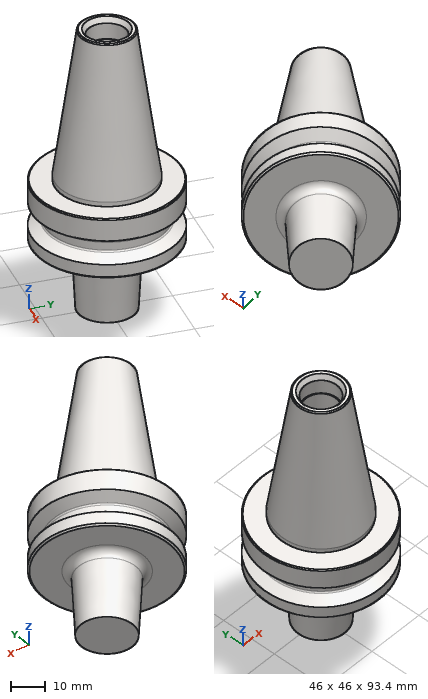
import cadquery as cq
import math

TOTAL_LENGTH = 93.4
FLANGE_BOTTOM = 23.0
FLANGE_TOP = 43.0
GAUGE_PLANE = 44.55

FLANGE_RADIUS = 46.0 / 2
FLANGE_TOP_CHAMFER = 0.4
FLANGE_BOTTOM_CHAMFER = 0.6
GROOVE_FLOOR_RADIUS = 19.1
GROOVE_BOTTOM = 27.6
GROOVE_TOP = 35.6
GROOVE_WALL_ANGLE = 30.0
GROOVE_FILLET = 0.7

GAUGE_RADIUS = 15.9
TAPER_RATIO = 7 / 24
SHANK_CHAMFER = 0.4

NOSE_END_RADIUS = 9.2
NOSE_ANGLE = 3.0
NOSE_FILLET = 2.8

RIM_RADIUS = 7.3
PILOT_RADIUS = 6.3
PILOT_DEPTH = 7.0
THREAD_RADIUS = 6.0
THREAD_DEPTH = 24.0
DRILL_RADIUS = 5.2
DRILL_DEPTH = 29.9
COUNTERSINK_HALF_ANGLE = 30.0
DRILL_POINT_HALF_ANGLE = 59.0


def revolve_profile(points):
    """Revolve (radius, height) points about the tool axis."""
    return cq.Workplane("XZ").polyline(points).close().revolve(360, (0, 0, 0), (0, 1, 0))


def edges_at(radius, height):
    """Select circular edges at this height, no larger than this radius."""
    margin = 0.01
    reach = radius + margin
    return cq.selectors.BoxSelector(
        (-reach, -reach, height - margin), (reach, reach, height + margin), boundingbox=True
    )


def make_body():
    groove_rise = (FLANGE_RADIUS - GROOVE_FLOOR_RADIUS) * math.tan(math.radians(GROOVE_WALL_ANGLE))
    floor_bottom = GROOVE_BOTTOM + groove_rise
    floor_top = GROOVE_TOP - groove_rise
    nose_base_radius = NOSE_END_RADIUS + FLANGE_BOTTOM * math.tan(math.radians(NOSE_ANGLE))
    shank_end_radius = GAUGE_RADIUS - (TOTAL_LENGTH - GAUGE_PLANE) * TAPER_RATIO / 2

    body = revolve_profile([
        (0, 0),
        (NOSE_END_RADIUS, 0),
        (nose_base_radius, FLANGE_BOTTOM),
        (FLANGE_RADIUS - FLANGE_BOTTOM_CHAMFER, FLANGE_BOTTOM),
        (FLANGE_RADIUS, FLANGE_BOTTOM + FLANGE_BOTTOM_CHAMFER),
        (FLANGE_RADIUS, GROOVE_BOTTOM),
        (GROOVE_FLOOR_RADIUS, floor_bottom),
        (GROOVE_FLOOR_RADIUS, floor_top),
        (FLANGE_RADIUS, GROOVE_TOP),
        (FLANGE_RADIUS, FLANGE_TOP - FLANGE_TOP_CHAMFER),
        (FLANGE_RADIUS - FLANGE_TOP_CHAMFER, FLANGE_TOP),
        (GAUGE_RADIUS, FLANGE_TOP),
        (GAUGE_RADIUS, GAUGE_PLANE),
        (shank_end_radius, TOTAL_LENGTH),
        (0, TOTAL_LENGTH),
    ])

    for height in (floor_bottom, floor_top):
        body = body.edges(edges_at(GROOVE_FLOOR_RADIUS, height)).fillet(GROOVE_FILLET)
    body = body.edges(edges_at(nose_base_radius, FLANGE_BOTTOM)).fillet(NOSE_FILLET)

    return body.faces(">Z").edges().chamfer(SHANK_CHAMFER)


def make_bore():
    countersink_depth = (RIM_RADIUS - PILOT_RADIUS) / math.tan(math.radians(COUNTERSINK_HALF_ANGLE))
    point_length = DRILL_RADIUS / math.tan(math.radians(DRILL_POINT_HALF_ANGLE))
    return revolve_profile([
        (0, TOTAL_LENGTH),
        (RIM_RADIUS, TOTAL_LENGTH),
        (PILOT_RADIUS, TOTAL_LENGTH - countersink_depth),
        (PILOT_RADIUS, TOTAL_LENGTH - PILOT_DEPTH),
        (THREAD_RADIUS, TOTAL_LENGTH - PILOT_DEPTH),
        (THREAD_RADIUS, TOTAL_LENGTH - THREAD_DEPTH),
        (DRILL_RADIUS, TOTAL_LENGTH - THREAD_DEPTH),
        (DRILL_RADIUS, TOTAL_LENGTH - DRILL_DEPTH),
        (0, TOTAL_LENGTH - DRILL_DEPTH - point_length),
    ])


result = make_body().cut(make_bore())